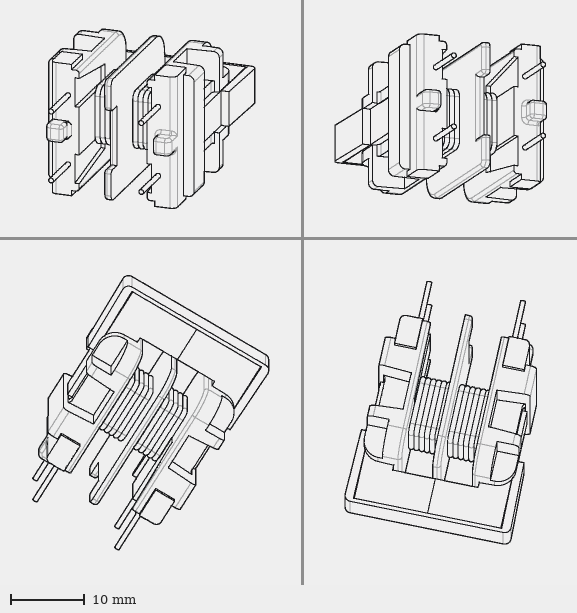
import cadquery as cq


limb = 5.02
core_half_length = 10.15
core_window_half = 5.92
core_back = 14.45

clip_wall = 0.55
clip_back_half_width = 11.52
clip_tip_half_width = 11.25
clip_back_gap = 0.13
clip_tip_y = 4.67
clip_corner_radius = 0.9

flange_height = 17.5
flange_back = 8.75
flange_front = -10.27
flange_corner_radius = 3.42
flange_inner = 4.9
flange_outer = core_window_half
flange_rim_radius = 0.45
recess_depth = 0.6
recess_low = 3.45
recess_high_back = 6.08
recess_high_front = 7.6

middle_thickness = 1.05
foot_front = -12.5
foot_corner_radius = 0.83
middle_notch_half = 4.3
notch_corner_radius = 0.48
middle_rim_radius = 0.45

side_outer = 10.5
side_edge_radius = 0.83
back_block_front = 2.95
back_post_outer = 7.5
back_rib_back = 4.48
back_shelf_half_height = 4.5
back_shelf_radius = 2.43
front_block_front = -7.0
front_block_back = -2.95
saddle_outer = 9.5
saddle_cove_radius = 0.55
pocket_half = 2.65
channel_mouth_half = 2.98

terminal_inner = 6.0
terminal_outer = 9.0
terminal_back = -6.05
terminal_half_height = 9.5
terminal_corner_radius = 0.77
pin_diameter = 0.7
pin_x = 6.5
pin_z = 5.0
pin_tip = -17.0
foot_inner = 6.5
foot_half_height = 1.25
foot_edge_radius = 0.45
foot_inner_corner_radius = 0.48
foot_cove_radius = 0.48
foot_root = terminal_back

turns = 6
coil_half_size = 4.25
coil_corner_radius = 1.3
turn_overlap = 0.003

half_limb = limb / 2
flange_half_height = flange_height / 2
middle_half = middle_thickness / 2
wire_pitch = (flange_inner - middle_half) / turns
wire_radius = wire_pitch / 2 + turn_overlap


def span_box(x_range, y_range, z_range):
    """Box between the given limits on each axis."""
    size = [high - low for low, high in (x_range, y_range, z_range)]
    corner = (x_range[0], y_range[0], z_range[0])
    return cq.Workplane("XY").box(*size, centered=False).translate(corner)


def centered(half_size):
    """Range that is symmetric about zero."""
    return (-half_size, half_size)


def prism_x(points, x_start, x_end):
    """Polygon of (Y, Z) points extruded along X."""
    return cq.Workplane("YZ").workplane(offset=x_start).polyline(points).close().extrude(x_end - x_start)


def prism_z(points, half_height):
    """Polygon of (X, Y) points extruded both ways along Z."""
    return cq.Workplane("XY").polyline(points).close().extrude(half_height, both=True)


def core_half(side):
    """U half on the side given as +1 or -1: half of the back bar, one leg and half of the wound limb."""
    window_back = core_back - limb
    points = [
        (0, -half_limb),
        (side * core_half_length, -half_limb),
        (side * core_half_length, core_back),
        (0, core_back),
        (0, window_back),
        (side * core_window_half, window_back),
        (side * core_window_half, half_limb),
        (0, half_limb),
    ]
    return prism_z(points, half_limb)


def core_clip():
    """Tapered U clip that wraps the back and the sides of the core."""
    clip_back = core_back + clip_wall
    outer = prism_z(
        [
            (-clip_tip_half_width, clip_tip_y),
            (clip_tip_half_width, clip_tip_y),
            (clip_back_half_width, clip_back),
            (-clip_back_half_width, clip_back),
        ],
        half_limb,
    )
    outer = outer.edges("|Z and >Y").fillet(clip_corner_radius)
    inner_back_half = core_half_length + clip_back_gap
    inner = prism_z(
        [
            (-core_half_length, clip_tip_y),
            (core_half_length, clip_tip_y),
            (inner_back_half, core_back),
            (-inner_back_half, core_back),
        ],
        half_limb,
    )
    return outer.cut(inner)


def end_flange():
    """Flange on the +X side, rounded at the back and on its inner rim."""
    flange = span_box(
        (flange_inner, flange_outer), (flange_front, flange_back), centered(flange_half_height)
    )
    flange = flange.edges("|X and >Y").fillet(flange_corner_radius)
    rim = flange.faces("<X").edges("not <Y")
    return rim.fillet(flange_rim_radius)


def wire_recesses():
    """Pair of tapered recesses in the inner face of the +X flange, open at the pin face."""
    upper = prism_x(
        [
            (0, recess_low),
            (flange_front, recess_low),
            (flange_front, recess_high_front),
            (0, recess_high_back),
        ],
        flange_inner,
        flange_inner + recess_depth,
    )
    return upper.union(upper.mirror("XY"))


def back_block():
    """Rounded post, outer rib and low shelf behind the saddle on the +X side."""
    y_range = (pocket_half, flange_back)
    post = span_box((flange_outer, back_post_outer), y_range, centered(flange_half_height))
    post = post.edges("|X and >Y").fillet(flange_corner_radius)
    rib = span_box(
        (flange_outer, side_outer), (pocket_half, back_rib_back), centered(flange_half_height)
    )
    rib = rib.edges("|Y and >X").fillet(side_edge_radius)
    shelf = span_box((flange_outer, side_outer), y_range, centered(back_shelf_half_height))
    shelf = shelf.edges("|Z and >X and >Y").fillet(back_shelf_radius)
    return post.union(rib).union(shelf)


def front_block():
    """Full-height block between the saddle and the terminal block on the +X side."""
    block = span_box(
        (flange_outer, side_outer), (front_block_front, -pocket_half), centered(flange_half_height)
    )
    return block.edges("|Y and >X").fillet(side_edge_radius)


def saddle_pocket():
    """Flared gap between the front and back blocks on the +X side."""
    points = [
        (flange_outer, -pocket_half),
        (side_outer, front_block_back),
        (side_outer, back_block_front),
        (flange_outer, pocket_half),
    ]
    return prism_z(points, flange_half_height)


def saddle():
    """Bridge over the core leg, with a cove where it meets the blocks on the +X side."""
    cove_tip = saddle_outer + saddle_cove_radius
    outline = (
        cq.Workplane("XY")
        .moveTo(flange_outer, front_block_back)
        .lineTo(cove_tip, front_block_back)
        .radiusArc((saddle_outer, front_block_back + saddle_cove_radius), saddle_cove_radius)
        .lineTo(saddle_outer, back_block_front - saddle_cove_radius)
        .radiusArc((cove_tip, back_block_front), saddle_cove_radius)
        .lineTo(flange_outer, back_block_front)
        .close()
    )
    return outline.extrude(back_shelf_half_height, both=True)


def core_channel():
    """Flared channel for the core leg and the clip arm on the +X side, open at the back."""
    height_taper = (
        cq.Workplane("XZ")
        .polyline(
            [
                (flange_outer, -half_limb),
                (side_outer, -channel_mouth_half),
                (side_outer, channel_mouth_half),
                (flange_outer, half_limb),
            ]
        )
        .close()
        .extrude(flange_back, both=True)
    )
    front_taper = prism_z(
        [
            (flange_outer, -half_limb),
            (side_outer, front_block_back),
            (side_outer, flange_back),
            (flange_outer, flange_back),
        ],
        channel_mouth_half,
    )
    return height_taper.intersect(front_taper)


def terminal_block():
    """Bar at the front of the +X side that carries two pins."""
    bar = span_box(
        (terminal_inner, terminal_outer), (flange_front, terminal_back), centered(terminal_half_height)
    )
    bar = bar.edges("|Z and <Y and >X").fillet(terminal_corner_radius)
    link = span_box(
        (flange_outer, terminal_inner), (flange_front, terminal_back), centered(flange_half_height)
    )
    return bar.union(link)


def pins():
    """Two pins of the +X side."""
    centers = [(pin_x, pin_z), (pin_x, -pin_z)]
    plane = cq.Workplane("XZ", origin=(0, flange_front, 0))
    return plane.pushPoints(centers).circle(pin_diameter / 2).extrude(flange_front - pin_tip)


def foot_body():
    """Rounded foot on the +X terminal block."""
    foot = span_box(
        (foot_inner, terminal_outer), (foot_front, foot_root), centered(foot_half_height)
    )
    foot = foot.edges("|Z and <Y and >X").fillet(terminal_corner_radius)
    foot = foot.edges("|Z and <Y and <X").fillet(foot_inner_corner_radius)
    return foot.faces("<Z or >Z").edges("not >Y").fillet(foot_edge_radius)


def inner_cove():
    """Cove between the inner face of the foot and the pin face, as tall as the foot."""
    cove_inner = foot_inner - foot_cove_radius
    cove_front = flange_front - foot_cove_radius
    block = span_box(
        (cove_inner, terminal_outer - terminal_corner_radius),
        (cove_front, flange_front),
        centered(foot_half_height),
    )
    block = block.edges("|Y and <X").chamfer(foot_edge_radius)
    hollow = cq.Workplane("XY").center(cove_inner, cove_front).circle(foot_cove_radius)
    return block.cut(hollow.extrude(foot_half_height, both=True))


def foot_base_edges():
    """Selector for the edges where the +X foot leaves the flat pin face."""
    margin = 0.015
    low = (foot_inner - margin, flange_front - margin, -foot_half_height - margin)
    high = (terminal_outer, flange_front + margin, foot_half_height + margin)
    return cq.selectors.BoxSelector(low, high, boundingbox=True)


def terminal_with_foot(cove_all_round):
    """Terminal block and foot, joined by a cove all round or only on the inner side."""
    joined = terminal_block().union(foot_body())
    if cove_all_round:
        return joined.edges(foot_base_edges()).fillet(foot_cove_radius)
    return joined.union(inner_cove())


def bobbin_side(cove_all_round):
    """One end of the bobbin with its two pins, built on the +X side."""
    side = back_block().union(front_block()).cut(saddle_pocket())
    side = side.union(saddle()).cut(core_channel())
    flange = end_flange().cut(wire_recesses())
    return side.union(flange).union(terminal_with_foot(cove_all_round)).union(pins())


def middle_flange():
    """Flange between the two coils; its front is notched into two feet."""
    flange = span_box(
        centered(middle_half), (foot_front, flange_back), centered(flange_half_height)
    )
    flange = flange.edges("|X and >Y").fillet(flange_corner_radius)
    flange = flange.edges("|X and <Y").fillet(foot_corner_radius)
    notch = span_box(
        centered(middle_half), (foot_front, flange_front), centered(middle_notch_half)
    )
    flange = flange.cut(notch)
    flange = flange.edges("|X and <Y").fillet(notch_corner_radius)
    return flange.faces("<X").edges().fillet(middle_rim_radius)


def coil_core(x_start):
    """Rounded square tube that fills one coil up to the centre line of its wire."""
    side = 2 * (coil_half_size - wire_radius)
    plane = cq.Workplane("YZ").workplane(offset=x_start)
    tube = plane.rect(side, side).extrude(flange_inner - middle_half)
    return tube.edges("|X").fillet(coil_corner_radius - wire_radius)


def turn(x_center):
    """One turn of round wire, swept around a square with rounded corners."""
    reach = coil_half_size - wire_radius
    straight = coil_half_size - coil_corner_radius
    path_radius = coil_corner_radius - wire_radius
    path = (
        cq.Workplane("YZ", origin=(x_center, 0, 0))
        .moveTo(reach, 0)
        .lineTo(reach, straight)
        .radiusArc((straight, reach), -path_radius)
        .lineTo(-straight, reach)
        .radiusArc((-reach, straight), -path_radius)
        .lineTo(-reach, -straight)
        .radiusArc((-straight, -reach), -path_radius)
        .lineTo(straight, -reach)
        .radiusArc((reach, -straight), -path_radius)
        .close()
    )
    section = cq.Workplane("XY", origin=(x_center, reach, 0)).circle(wire_radius)
    return section.sweep(path)


def coil(x_start):
    """One coil of close turns, starting at x_start and running towards +X."""
    wound = coil_core(x_start)
    for index in range(turns):
        wound = wound.union(turn(x_start + (index + 0.5) * wire_pitch))
    return wound


def bobbin():
    """Moulded bobbin with its windings, pins and feet."""
    body = middle_flange()
    for x_start in (-flange_inner, middle_half):
        body = body.union(coil(x_start))
    right_side = bobbin_side(cove_all_round=True)
    left_side = bobbin_side(cove_all_round=False).mirror("YZ")
    body = body.union(right_side).union(left_side)
    limb_hole = span_box(
        centered(flange_outer), centered(half_limb), centered(half_limb)
    )
    return body.cut(limb_hole)


choke_bobbin = bobbin()
clip = core_clip()
cores = [core_half(side) for side in (-1, 1)]

result = cq.Compound.makeCompound([choke_bobbin.val(), clip.val(), *[core.val() for core in cores]])